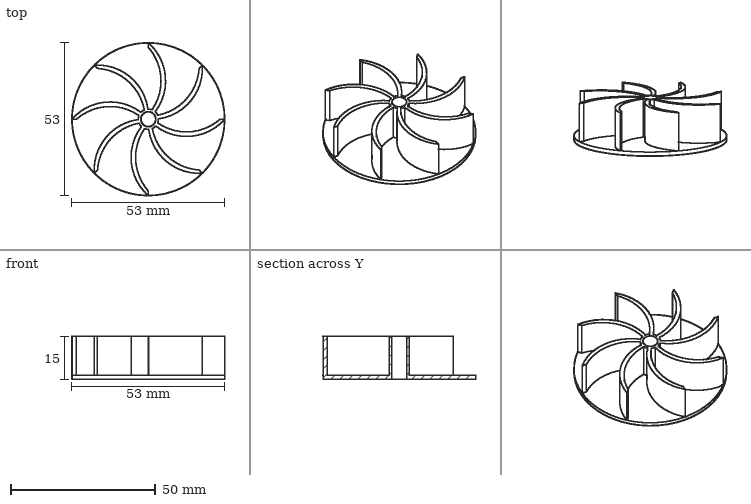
import cadquery as cq
import math

disc_diameter = 53
disc_thickness = 1.5
total_height = 15.0
hub_diameter = 7.0
bore_diameter = 5.1
blade_count = 8
blade_arc_radius = 17.65
blade_shift = 1.6

blade_height = total_height - disc_thickness
chord_middle = disc_diameter / 4


def face_arc(radius, center_x):
    """Return the start, middle and end of a blade face, cut off at X = 0."""
    half_chord = math.sqrt(radius**2 - center_x**2)
    start = (0, chord_middle - half_chord)
    middle = (center_x + radius, chord_middle)
    end = (0, chord_middle + half_chord)
    return start, middle, end


def make_blade():
    """Curved blade running from the hub axis to the rim along +Y."""
    convex_center_x = -math.sqrt(blade_arc_radius**2 - chord_middle**2)
    convex_start, convex_middle, convex_end = face_arc(blade_arc_radius, convex_center_x)
    concave_start, concave_middle, concave_end = face_arc(
        blade_arc_radius, convex_center_x - blade_shift
    )
    return (
        cq.Workplane("XY")
        .workplane(offset=disc_thickness)
        .moveTo(*convex_start)
        .threePointArc(convex_middle, convex_end)
        .lineTo(*concave_end)
        .threePointArc(concave_middle, concave_start)
        .close()
        .extrude(blade_height)
    )


disc = cq.Workplane("XY").circle(disc_diameter / 2).extrude(disc_thickness)
hub = cq.Workplane("XY").circle(hub_diameter / 2).extrude(total_height)
impeller = disc.union(hub)

blade = make_blade()
for index in range(blade_count):
    angle = index * 360 / blade_count
    impeller = impeller.union(blade.rotate((0, 0, 0), (0, 0, 1), angle))

bore = cq.Workplane("XY").circle(bore_diameter / 2).extrude(total_height)
result = impeller.cut(bore)